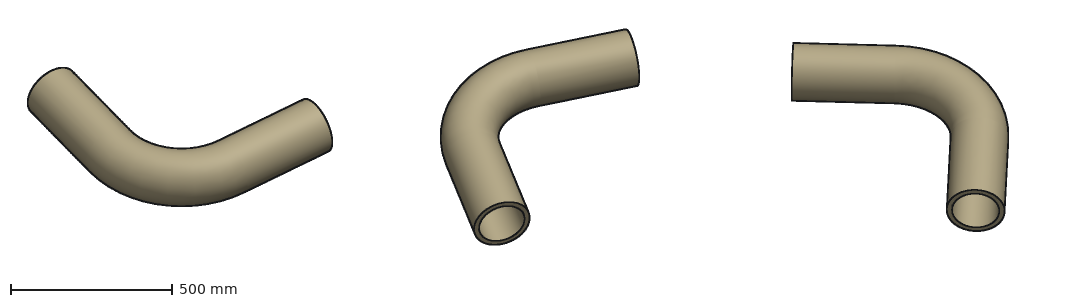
import cadquery as cq

overall_length = 680.0
outer_diameter = 180.0
bore_diameter = 147.0
bend_radius = 270.0

leg_length = overall_length - outer_diameter / 2 - bend_radius


def pipe_ring(workplane):
    """Annular pipe section centred on the workplane origin."""
    return workplane.circle(outer_diameter / 2).circle(bore_diameter / 2)


inlet_leg = pipe_ring(cq.Workplane("YZ")).extrude(leg_length)

elbow = pipe_ring(cq.Workplane("YZ", origin=(leg_length, 0, 0))).revolve(
    90, (bend_radius, 0, 0), (bend_radius, 1, 0)
)

outlet_start = (leg_length + bend_radius, bend_radius, 0)
outlet_leg = pipe_ring(cq.Workplane("XZ", origin=outlet_start)).extrude(-leg_length)

result = inlet_leg.union(elbow).union(outlet_leg)